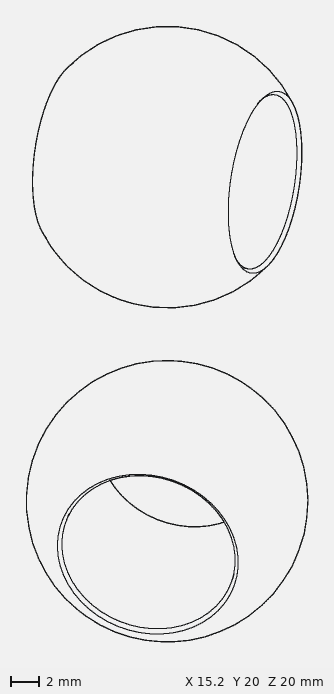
import cadquery as cq
import math

ball_diameter = 20.0
rim_spacing = 15.15
bore_diameter = 12.5

ball_radius = ball_diameter / 2
bore_radius = bore_diameter / 2
half_length = rim_spacing / 2

rim_radius = math.sqrt(ball_radius**2 - half_length**2)
chamfer_size = rim_radius - bore_radius
chamfer_start = half_length - chamfer_size

result = (
    cq.Workplane("XY")
    .moveTo(-chamfer_start, bore_radius)
    .lineTo(-half_length, rim_radius)
    .threePointArc((0, ball_radius), (half_length, rim_radius))
    .lineTo(chamfer_start, bore_radius)
    .close()
    .revolve(360, (0, 0, 0), (1, 0, 0))
)